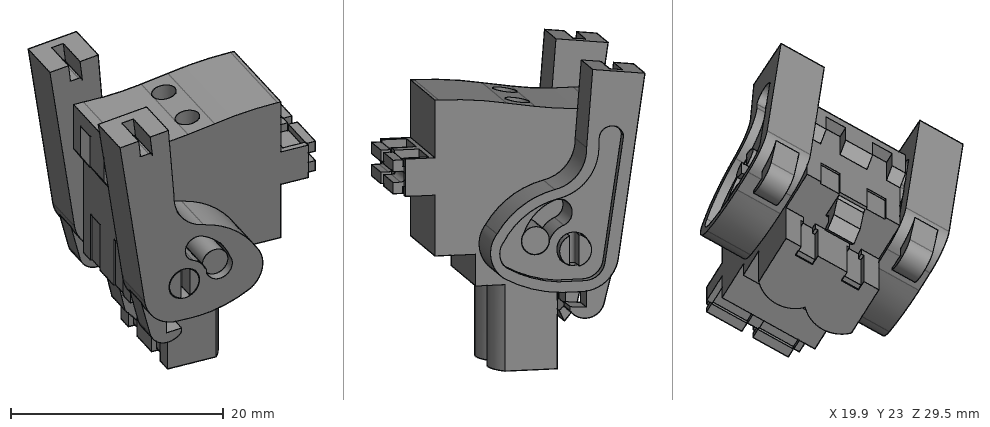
import cadquery as cq
import math


OVERALL_WIDTH = 19.87
OVERALL_HEIGHT = 29.52
HOUSING_WIDTH = 10.13
LEVER_GAP = 0.15
HOUSING_HALF = HOUSING_WIDTH / 2
LEVER_WIDTH = (OVERALL_WIDTH - HOUSING_WIDTH) / 2 - LEVER_GAP
LEVER_OUTER_X = -OVERALL_WIDTH / 2
LEVER_PITCH = HOUSING_WIDTH + 2 * LEVER_GAP + LEVER_WIDTH
POLE_X = HOUSING_WIDTH / 4
POLE_CENTRES = (-POLE_X, POLE_X)

HOUSING_TOP_Z = 26.27
HOUSING_BOTTOM_Z = 8.3
REAR_STEP_Y = -3.93
REAR_STEP_Z = 11.35
FRONT_LIP_Y = -16.75
FRONT_FACE_Y = -15.7
LIP_BOTTOM_Z = 20.0
LIP_BEVEL_Z = 18.45
CREST_START_Y = -0.35
CREST_END_Y = -6.9
CREST_END_Z = 25.68
DIP_START_Y = -9.68
DIP_START_Z = 25.25
ROOF_FRONT_Z = 24.85

BLOCK_REAR_Y = 2.85
BLOCK_BOTTOM_Z = 17.18
BLOCK_TOP_Z = 20.75

SCREW_HOLE_RADIUS = 1.15
SCREW_HOLE_Y = -8.53
SCREW_HOLE_DEPTH = 3.55

LIP_SLOT_WIDTH = 2.13
LIP_SLOT_TOP_Z = 23.3

FACE_RECESS_X = 2.5
FACE_RECESS_WIDTH = 2.05
FACE_RECESS_TOP_Z = 13.35
FACE_RECESS_DEPTH = 0.18

FOOT_FRONT_Y = -11.8
FOOT_REAR_Y = -6.75
BULGE_HEIGHT = 1.05
FOOT_SLOT_WIDTH = 1.83
FOOT_NECK_WIDTH = 1.27
FOOT_SLOT_TOP_Z = 7.03
FOOT_SLOT_DEPTH = 0.53
FOOT_RELIEF_DEPTH = 1.0
FOOT_RELIEF_HEIGHT = 0.25

LATCH_WIDTH = 2.85
LATCH_OUTLINE = [
    (-13.02, HOUSING_BOTTOM_Z),
    (-13.45, 7.25),
    (-13.45, 5.43),
    (-12.85, 4.85),
    (-13.35, 3.8),
    (-14.5, 5.17),
    (-15.15, 8.03),
    (-15.4, HOUSING_BOTTOM_Z),
]

PIVOT_Y = -12.43
PIVOT_Z = 12.25
PIVOT_RADIUS = 1.54
PIVOT_HOLE_RADIUS = 1.6
PIVOT_SLOT_WIDTH = 0.92
PIVOT_SLOT_Y = -12.3
PIVOT_SLOT_DEPTH = 2.07
GUIDE_SWING_RADIUS = 3.78
GUIDE_START_ANGLE = 14.5
GUIDE_END_ANGLE = 68.0
GUIDE_RADIUS = 1.33
GUIDE_HOLE_RADIUS = 1.35
GUIDE_TRACK_RADIUS = 1.3

LEVER_POCKET_DEPTH = 0.92
LEVER_CORNER_RADIUS = 3.55
LEVER_POCKET_CORNER_RADIUS = 1.98
LEVER_TOP_REAR = (-14.08, OVERALL_HEIGHT)
LEVER_TOP_FRONT = (-19.13, 28.93)
TOP_SLOT_START = 1.92
TOP_SLOT_WIDTH = 1.2
TOP_SLOT_DEPTH = 1.77
TOP_SLOT_END_WALL = 1.1
TOP_SLOT_ROUND = 0.35
HOOK_WIDTH = 2.5
HOOK_INSET = 1.1

TERMINAL_WIDTH = 3.87
TERMINAL_FRONT_Y = 0.5
FLANGE_FRONT_Y = 2.95
FLANGE_REAR_Y = 3.9
BLOCK_MID_Z = (BLOCK_BOTTOM_Z + BLOCK_TOP_Z) / 2
FLANGE_HEIGHT = 3.22
TONGUE_HEIGHT = 1.92
NOTCH_WIDTH = 1.03
NOTCH_DEPTH = 1.25


def box(x_mid, width, y_min, y_max, z_min, z_max):
    """Box centred on x_mid in X, given by its limits in Y and Z."""
    block = cq.Workplane("XY").box(width, y_max - y_min, z_max - z_min)
    return block.translate((x_mid, (y_min + y_max) / 2, (z_min + z_max) / 2))


def side_plane(x):
    """Sketch plane at X = x whose local axes are Y and Z; extrusion runs toward +X."""
    return cq.Workplane("YZ", origin=(x, 0, 0))


def side_disc(x, y, z, radius, length):
    """Cylinder along +X starting at X = x."""
    return side_plane(x).center(y, z).circle(radius).extrude(length)


def around_pivot(radius, angle):
    """Point (Y, Z) at a distance and an angle in degrees from the pivot."""
    a = math.radians(angle)
    return (PIVOT_Y + radius * math.cos(a), PIVOT_Z + radius * math.sin(a))


GUIDE_Y, GUIDE_Z = around_pivot(GUIDE_SWING_RADIUS, GUIDE_START_ANGLE)


def housing_shell():
    """Main profile with the S-curved roof, the front lip and the rear terminal block."""
    return (
        side_plane(-HOUSING_HALF)
        .moveTo(0, HOUSING_TOP_Z)
        .lineTo(CREST_START_Y, HOUSING_TOP_Z)
        .tangentArcPoint((CREST_END_Y, CREST_END_Z), relative=False)
        .lineTo(DIP_START_Y, DIP_START_Z)
        .tangentArcPoint((FRONT_FACE_Y, ROOF_FRONT_Z), relative=False)
        .lineTo(FRONT_LIP_Y, ROOF_FRONT_Z)
        .lineTo(FRONT_LIP_Y, LIP_BOTTOM_Z)
        .lineTo(FRONT_FACE_Y, LIP_BEVEL_Z)
        .lineTo(FRONT_FACE_Y, HOUSING_BOTTOM_Z)
        .lineTo(REAR_STEP_Y, HOUSING_BOTTOM_Z)
        .lineTo(REAR_STEP_Y, REAR_STEP_Z)
        .lineTo(0, REAR_STEP_Z)
        .lineTo(0, BLOCK_BOTTOM_Z)
        .lineTo(BLOCK_REAR_Y, BLOCK_BOTTOM_Z)
        .lineTo(BLOCK_REAR_Y, BLOCK_TOP_Z)
        .lineTo(0, BLOCK_TOP_Z)
        .close()
        .extrude(HOUSING_WIDTH)
    )


def plug_foot():
    """Foot with two convex bulges along its rear and two stepped slots in its front."""
    bulge_y = FOOT_REAR_Y + BULGE_HEIGHT
    foot = (
        cq.Workplane("XY")
        .moveTo(-HOUSING_HALF, FOOT_FRONT_Y)
        .lineTo(HOUSING_HALF, FOOT_FRONT_Y)
        .lineTo(HOUSING_HALF, FOOT_REAR_Y)
        .threePointArc((POLE_X, bulge_y), (0, FOOT_REAR_Y))
        .threePointArc((-POLE_X, bulge_y), (-HOUSING_HALF, FOOT_REAR_Y))
        .close()
        .extrude(HOUSING_BOTTOM_Z)
    )
    slot_back_y = FOOT_FRONT_Y + FOOT_SLOT_DEPTH
    relief_back_y = FOOT_FRONT_Y + FOOT_RELIEF_DEPTH
    for x in (-FACE_RECESS_X, FACE_RECESS_X):
        foot = foot.cut(box(x, FOOT_SLOT_WIDTH, FOOT_FRONT_Y, slot_back_y, 0, FOOT_SLOT_TOP_Z))
        foot = foot.cut(box(x, FOOT_SLOT_WIDTH, FOOT_FRONT_Y, relief_back_y, 0, FOOT_RELIEF_HEIGHT))
        foot = foot.cut(
            box(x, FOOT_NECK_WIDTH, FOOT_FRONT_Y, slot_back_y, FOOT_SLOT_TOP_Z, HOUSING_BOTTOM_Z)
        )
    return foot


def latch():
    return side_plane(-LATCH_WIDTH / 2).polyline(LATCH_OUTLINE).close().extrude(LATCH_WIDTH)


def pivot_slot():
    """Upright screwdriver slot with a rounded bottom, cut into the end of the left pivot pin."""
    half = PIVOT_SLOT_WIDTH / 2
    bottom_x = LEVER_OUTER_X + PIVOT_SLOT_DEPTH
    return (
        cq.Workplane("XY", origin=(0, 0, PIVOT_Z - PIVOT_RADIUS))
        .moveTo(LEVER_OUTER_X, PIVOT_SLOT_Y - half)
        .lineTo(bottom_x - half, PIVOT_SLOT_Y - half)
        .threePointArc((bottom_x, PIVOT_SLOT_Y), (bottom_x - half, PIVOT_SLOT_Y + half))
        .lineTo(LEVER_OUTER_X, PIVOT_SLOT_Y + half)
        .close()
        .extrude(2 * PIVOT_RADIUS)
    )


def left_pins():
    """Slotted pivot pin, flush with the lever's outer side, and the shorter guide pin."""
    pivot_length = -HOUSING_HALF - LEVER_OUTER_X
    pivot = side_disc(LEVER_OUTER_X, PIVOT_Y, PIVOT_Z, PIVOT_RADIUS, pivot_length).cut(pivot_slot())
    guide_end_x = LEVER_OUTER_X + LEVER_POCKET_DEPTH
    guide_length = pivot_length - LEVER_POCKET_DEPTH
    guide = side_disc(guide_end_x, GUIDE_Y, GUIDE_Z, GUIDE_RADIUS, guide_length)
    return pivot, guide


def make_housing():
    housing = housing_shell().union(plug_foot()).union(latch())

    for x in POLE_CENTRES:
        hole = (
            cq.Workplane("XY", origin=(x, SCREW_HOLE_Y, HOUSING_TOP_Z))
            .circle(SCREW_HOLE_RADIUS)
            .extrude(-SCREW_HOLE_DEPTH)
        )
        lip_slot = box(x, LIP_SLOT_WIDTH, FRONT_LIP_Y, FRONT_FACE_Y, LIP_BEVEL_Z, LIP_SLOT_TOP_Z)
        housing = housing.cut(hole).cut(lip_slot)

    recess_back_y = FRONT_FACE_Y + FACE_RECESS_DEPTH
    for x in (-FACE_RECESS_X, FACE_RECESS_X):
        recess = box(
            x, FACE_RECESS_WIDTH, FRONT_FACE_Y, recess_back_y, HOUSING_BOTTOM_Z, FACE_RECESS_TOP_Z
        )
        housing = housing.cut(recess)

    for x in POLE_CENTRES:
        bay = box(x, TERMINAL_WIDTH, TERMINAL_FRONT_Y, BLOCK_REAR_Y, BLOCK_BOTTOM_Z, BLOCK_TOP_Z)
        housing = housing.cut(bay)

    for pin in left_pins():
        housing = housing.union(pin).union(pin.mirror("YZ"))
    return housing


def lever_plate():
    """Full-width lever: straight handle above, rounded nose to the rear, corner at the bottom front."""
    corner = (-16.12, HOUSING_BOTTOM_Z)
    plate = (
        side_plane(LEVER_OUTER_X)
        .moveTo(*LEVER_TOP_REAR)
        .lineTo(*LEVER_TOP_FRONT)
        .lineTo(*corner)
        .lineTo(-11.0, HOUSING_BOTTOM_Z)
        .threePointArc((-8.1, 8.8), (-5.52, 9.9))
        .threePointArc((-4.22, 12.37), (-4.85, 14.17))
        .threePointArc((-7.25, 16.77), (-10.42, 18.18))
        .threePointArc((-12.58, 19.45), (-13.5, 22.05))
        .close()
        .extrude(LEVER_WIDTH)
    )
    selector = cq.selectors.NearestToPointSelector((LEVER_OUTER_X + LEVER_WIDTH / 2, *corner))
    return plate.edges(selector).fillet(LEVER_CORNER_RADIUS)


def lever_pocket():
    """Pocket in the outer side, following the lever outline inside a rim."""
    corner = (-15.03, 9.33)
    pocket = (
        side_plane(LEVER_OUTER_X)
        .moveTo(-14.7, 22.8)
        .threePointArc((-15.88, 24.03), (-17.05, 23.05))
        .lineTo(*corner)
        .lineTo(-10.75, 9.33)
        .threePointArc((-8.55, 9.7), (-5.82, 10.85))
        .threePointArc((-5.1, 12.2), (-5.43, 13.28))
        .threePointArc((-7.45, 15.7), (-10.75, 17.3))
        .threePointArc((-13.75, 19.22), (-14.67, 21.87))
        .close()
        .extrude(LEVER_POCKET_DEPTH)
    )
    selector = cq.selectors.NearestToPointSelector((LEVER_OUTER_X + LEVER_POCKET_DEPTH / 2, *corner))
    return pocket.edges(selector).fillet(LEVER_POCKET_CORNER_RADIUS)


def guide_track():
    """Arc-shaped track swept by the guide pin, with a snug round seat at its lower end."""
    inner = GUIDE_SWING_RADIUS - GUIDE_TRACK_RADIUS
    outer = GUIDE_SWING_RADIUS + GUIDE_TRACK_RADIUS
    mid_angle = (GUIDE_START_ANGLE + GUIDE_END_ANGLE) / 2
    track = (
        side_plane(LEVER_OUTER_X)
        .moveTo(*around_pivot(inner, GUIDE_START_ANGLE))
        .lineTo(*around_pivot(outer, GUIDE_START_ANGLE))
        .threePointArc(around_pivot(outer, mid_angle), around_pivot(outer, GUIDE_END_ANGLE))
        .tangentArcPoint(around_pivot(inner, GUIDE_END_ANGLE), relative=False)
        .threePointArc(around_pivot(inner, mid_angle), around_pivot(inner, GUIDE_START_ANGLE))
        .close()
        .extrude(LEVER_WIDTH)
    )
    return track.union(side_disc(LEVER_OUTER_X, GUIDE_Y, GUIDE_Z, GUIDE_HOLE_RADIUS, LEVER_WIDTH))


def top_slot():
    """Slot sunk square to the lever top, open at the +X side; its floor rounds off toward the rear."""
    rear_y, rear_z = LEVER_TOP_REAR
    front_y, front_z = LEVER_TOP_FRONT
    tilt = math.degrees(math.atan2(rear_z - front_z, rear_y - front_y))
    end = TOP_SLOT_START + TOP_SLOT_WIDTH
    round_mid = TOP_SLOT_ROUND * (1 - math.sqrt(0.5))
    slot = (
        side_plane(LEVER_OUTER_X + TOP_SLOT_END_WALL)
        .moveTo(-TOP_SLOT_START, 0)
        .lineTo(-TOP_SLOT_START, -TOP_SLOT_DEPTH - TOP_SLOT_ROUND)
        .threePointArc(
            (-TOP_SLOT_START - round_mid, -TOP_SLOT_DEPTH - round_mid),
            (-TOP_SLOT_START - TOP_SLOT_ROUND, -TOP_SLOT_DEPTH),
        )
        .lineTo(-end, -TOP_SLOT_DEPTH)
        .lineTo(-end, 0)
        .close()
        .extrude(LEVER_WIDTH - TOP_SLOT_END_WALL)
    )
    return slot.rotate((0, 0, 0), (1, 0, 0), tilt).translate((0, rear_y, rear_z))


def lever_hook():
    """Narrow hook hanging from the lower front corner of the lever."""
    return (
        side_plane(LEVER_OUTER_X + HOOK_INSET)
        .moveTo(-13.73, 10.05)
        .lineTo(-16.25, 11.07)
        .lineTo(-16.38, 10.6)
        .lineTo(-15.45, 6.85)
        .threePointArc((-13.75, 5.5), (-12.15, 6.25))
        .lineTo(-12.15, 6.67)
        .lineTo(-13.73, 6.55)
        .close()
        .extrude(HOOK_WIDTH)
    )


def make_lever():
    """Lever beside the -X flank of the housing."""
    pivot_hole = side_disc(LEVER_OUTER_X, PIVOT_Y, PIVOT_Z, PIVOT_HOLE_RADIUS, LEVER_WIDTH)
    lever = lever_plate().union(lever_hook())
    for cutter in (lever_pocket(), guide_track(), pivot_hole, top_slot()):
        lever = lever.cut(cutter)
    return lever


def make_terminal(x_mid):
    """Terminal: a tongue seated in the rear block and a taller flange notched across its rear."""
    half_tongue = TONGUE_HEIGHT / 2
    half_flange = FLANGE_HEIGHT / 2
    half_notch = NOTCH_WIDTH / 2
    notch_y = FLANGE_REAR_Y - NOTCH_DEPTH
    arc_y = notch_y + half_notch
    return (
        cq.Workplane("YZ", origin=(x_mid - TERMINAL_WIDTH / 2, 0, BLOCK_MID_Z))
        .moveTo(TERMINAL_FRONT_Y, -half_tongue)
        .lineTo(FLANGE_FRONT_Y, -half_tongue)
        .lineTo(FLANGE_FRONT_Y, -half_flange)
        .lineTo(FLANGE_REAR_Y, -half_flange)
        .lineTo(FLANGE_REAR_Y, -half_notch)
        .lineTo(arc_y, -half_notch)
        .threePointArc((notch_y, 0), (arc_y, half_notch))
        .lineTo(FLANGE_REAR_Y, half_notch)
        .lineTo(FLANGE_REAR_Y, half_flange)
        .lineTo(FLANGE_FRONT_Y, half_flange)
        .lineTo(FLANGE_FRONT_Y, half_tongue)
        .lineTo(TERMINAL_FRONT_Y, half_tongue)
        .close()
        .extrude(TERMINAL_WIDTH)
    )


housing = make_housing()
levers = [make_lever().translate((i * LEVER_PITCH, 0, 0)) for i in range(2)]
terminals = [make_terminal(x) for x in POLE_CENTRES]

result = cq.Compound.makeCompound([body.val() for body in [housing, *levers, *terminals]])